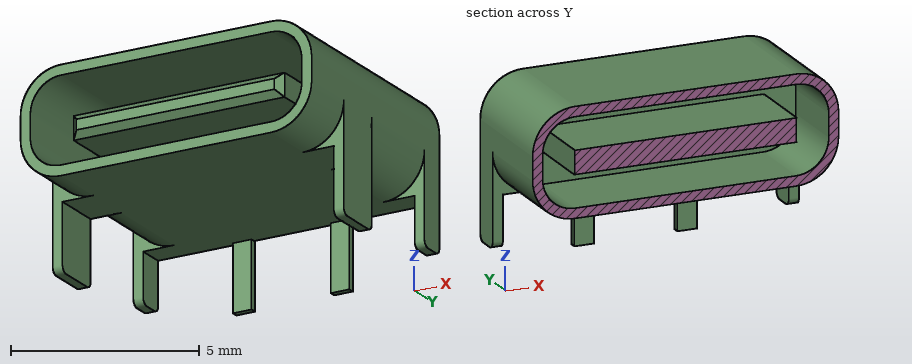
import cadquery as cq

width = 8.94
total_height = 5.16
shell_height = 3.165
shell_depth = 6.8
corner_radius = 1.24
wall = 0.3
shell_bottom = total_height - shell_height
mid_z = shell_bottom + shell_height / 2

plug_front = 5.54
tongue_width = 6.47
tongue_height = 0.7
tongue_front = 0.5
tongue_chamfer = 0.2

front_leg_start = 1.71
front_leg_length = 1.5
rear_leg_length = 0.805
rear_leg_bottom = 0.5
leg_corner_radius = 0.2

pin_spacing = 3.0
pin_width = 0.57
pin_thickness = 0.2
pin_back = 6.85
pin_top = 3.49
pin_bend_radius = 0.19


def rounded_bar(bar_width, bar_height, radius, start, end):
    """Bar along Y with rounded long edges, centred on the shell axis."""
    return (
        cq.Workplane("XY")
        .box(bar_width, end - start, bar_height)
        .edges("|Y")
        .fillet(radius)
        .translate((0, (start + end) / 2, mid_z))
    )


def block(x_min, x_max, y_min, y_max, z_min, z_max):
    """Box spanning the given limits."""
    size = (x_max - x_min, y_max - y_min, z_max - z_min)
    return cq.Workplane("XY").box(*size, centered=False).translate((x_min, y_min, z_min))


def leg(y_min, y_max, z_min):
    """Right-hand leg with a web filling the space under the rounded shell corner."""
    outer = width / 2
    shoulder = shell_bottom + corner_radius
    blade = block(outer - wall, outer, y_min, y_max, z_min, shoulder)
    blade = blade.edges("|X and <Z").fillet(leg_corner_radius)
    web = block(outer - corner_radius, outer, y_min, y_max, shell_bottom, shoulder)
    return blade.union(web)


def tongue():
    """Flat tongue running into the plug, chamfered around its tip."""
    bar = block(
        -tongue_width / 2, tongue_width / 2,
        tongue_front, plug_front + wall,
        mid_z - tongue_height / 2, mid_z + tongue_height / 2,
    )
    return bar.faces("<Y").chamfer(tongue_chamfer)


def pin(x_center):
    """Upright pin with a rounded upper rear edge."""
    upright = block(
        x_center - pin_width / 2, x_center + pin_width / 2,
        pin_back - pin_thickness, pin_back,
        0, pin_top,
    )
    return upright.edges(">Y and >Z").fillet(pin_bend_radius)


result = rounded_bar(width, shell_height, corner_radius, 0, shell_depth)

right_legs = leg(front_leg_start, front_leg_start + front_leg_length, 0).union(
    leg(shell_depth - rear_leg_length, shell_depth, rear_leg_bottom)
)
result = result.union(right_legs).union(right_legs.mirror("YZ"))

cavity = rounded_bar(
    width - 2 * wall, shell_height - 2 * wall, corner_radius - wall, 0, plug_front
)
result = result.cut(cavity).union(tongue())

for side in (-1, 1):
    result = result.union(pin(side * pin_spacing / 2))